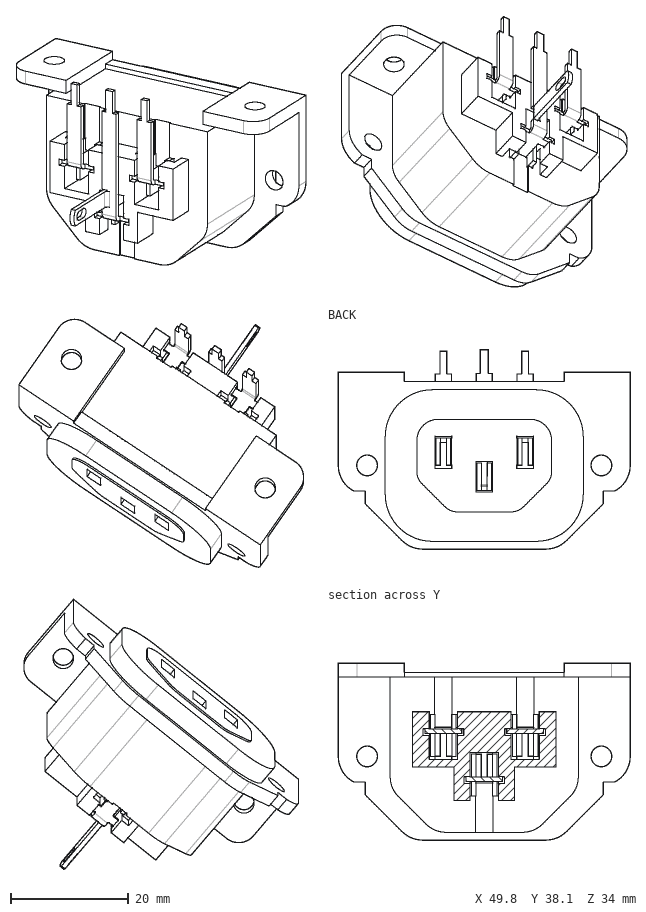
import cadquery as cq
import math


FLANGE_WIDTH = 49.8
PLATE_THICKNESS = 2.4
FLANGE_TOP = 28.65
LUG_TOP = 30.2
LUG_INNER_X = 13.6
LUG_LENGTH = 15.4
LUG_CORNER_RADIUS = 3.25
MOUNT_HOLE_X = 19.95
MOUNT_HOLE_DIAMETER = 3.5
FLANGE_HOLE_Z = 14.3
LUG_HOLE_Y = -8.7
EAR_BOTTOM = 9.9
STEP_X = 20.3
STEP_BOTTOM = 7.75
FLANGE_CORNER_RADIUS = 5.0

BODY_HALF_WIDTH = 16.05
BODY_TOP = LUG_TOP - PLATE_THICKNESS
BODY_BOTTOM = 1.35
BODY_BEVEL_TOP = 8.85
BODY_SIDE_RADIUS = 4.7
BODY_BOTTOM_RADIUS = 5.0
BODY_REAR = -17.9

BOSS_WIDTH = 33.75
BOSS_TOP = 27.2
BOSS_FRONT = 3.3
BOSS_RADIUS = 8.0
PAD_HALF_WIDTH = 11.5
PAD_TOP = 22.15
PAD_BOTTOM = 6.35
PAD_BEVEL_TOP = 12.05
PAD_FRONT = 3.6
PAD_TOP_RADIUS = 3.7
PAD_BEVEL_RADIUS = 3.0

BLOCK_HALF_WIDTH = 12.25
BLOCK_TOP = 21.9
BLOCK_STEP = 12.45
STEM_HALF_WIDTH = 5.2
BLOCK_BOTTOM = 6.75
BLOCK_REAR = -22.95

SHEET = 0.8
SIDE_TERMINAL_X = 6.95
SIDE_WEB_Z = 18.6
MIDDLE_WEB_Z = 10.4
PLATE_HALF_WIDTH = 1.4
WEB_HALF_WIDTH = 1.3
WEB_FRONT = -10.95
EAR_HALF_WIDTH = 3.15
EAR_FRONT = BODY_REAR - 3.3
EAR_REAR = BODY_REAR - 4.65
BEND_INNER_RADIUS = 0.25
BEND_OUTER_RADIUS = BEND_INNER_RADIUS + SHEET
TERMINAL_REAR = BLOCK_REAR - SHEET

WALL_THICKNESS = 0.75
WALL_INNER_X = 1.45
WALL_OUTER_X = WALL_INNER_X + WALL_THICKNESS
WALL_REAR = BODY_REAR - 1.5
WALL_FRONT = -15.95
WALL_SHORT_REACH = 2.85
WALL_LONG_REACH = 4.3
FINGER_FRONT = -7.95
FINGER_GAP = 1.0

SIDE_SHOULDER_Z = 29.9
SIDE_TAIL_HALF_WIDTH = 0.6
SIDE_TAIL_TOP = 33.75
MIDDLE_SHOULDER_Z = 30.0
MIDDLE_TAIL_HALF_WIDTH = 0.7
MIDDLE_TAIL_TOP = 34.0

TAB_CENTER_Z = 14.05
TAB_HEIGHT = 2.9
TAB_RELIEF_HEIGHT = 3.2
TAB_OUTER_X = -1.35
TAB_INNER_X = TAB_OUTER_X + SHEET
TAB_REAR = -34.45
TAB_TIP_RISE = 0.45
TAB_OUTER_RADIUS = 1.05
TAB_INNER_RADIUS = 0.6
TAB_SLOT_Y = -31.95
TAB_SLOT_LENGTH = 3.0
TAB_SLOT_HEIGHT = 1.65

SLOT_HALF_WIDTH = 2.4
SIDE_SLOT_END = 13.8
MIDDLE_SLOT_END = 14.95
HOLE_HALF_WIDTH = 1.4
HOLE_CLEARANCE = 0.25
POCKET_FRONT = FINGER_FRONT + 0.5
GROOVE_HALF_WIDTH = 1.5
GROOVE_DEPTH = 0.3
EAR_RECESS_HALF_WIDTH = 3.45
EAR_RECESS_CLEARANCE = 0.3
NOTCH_HALF_WIDTH = 3.9
NOTCH_REAR = BODY_REAR - 2.25


def box(x_range, y_range, z_range):
    """Axis-aligned box; each range is a pair of limits in either order."""
    lows = [min(pair) for pair in (x_range, y_range, z_range)]
    highs = [max(pair) for pair in (x_range, y_range, z_range)]
    return cq.Workplane(cq.Solid.makeBox(
        highs[0] - lows[0], highs[1] - lows[1], highs[2] - lows[2], cq.Vector(*lows)
    ))


def centered_box(center_x, half_width, y_range, z_range):
    return box((center_x - half_width, center_x + half_width), y_range, z_range)



def make_flange():
    ear_radius = FLANGE_WIDTH / 2 - MOUNT_HOLE_X
    ear_drop = FLANGE_HOLE_Z - EAR_BOTTOM
    ear_end_x = MOUNT_HOLE_X + math.sqrt(ear_radius**2 - ear_drop**2)
    ear_mid_angle = math.asin(ear_drop / ear_radius) / 2
    ear_mid = (
        MOUNT_HOLE_X + ear_radius * math.cos(ear_mid_angle),
        FLANGE_HOLE_Z - ear_radius * math.sin(ear_mid_angle),
    )
    half = FLANGE_WIDTH / 2
    bottom_x = STEP_X - STEP_BOTTOM
    outline = (
        cq.Workplane("XZ")
        .moveTo(0, FLANGE_TOP)
        .lineTo(LUG_INNER_X, FLANGE_TOP)
        .lineTo(LUG_INNER_X, LUG_TOP)
        .lineTo(half, LUG_TOP)
        .lineTo(half, FLANGE_HOLE_Z)
        .threePointArc(ear_mid, (ear_end_x, EAR_BOTTOM))
        .lineTo(STEP_X, EAR_BOTTOM)
        .lineTo(STEP_X, STEP_BOTTOM)
        .lineTo(bottom_x, 0)
        .lineTo(0, 0)
        .close()
    )
    right_half = outline.extrude(PLATE_THICKNESS)
    right_half = right_half.edges(
        cq.selectors.NearestToPointSelector((bottom_x, -PLATE_THICKNESS / 2, 0))
    ).fillet(FLANGE_CORNER_RADIUS)
    return right_half.union(right_half.mirror("YZ"))


def make_lug(side):
    lug = box(
        (side * LUG_INNER_X, side * FLANGE_WIDTH / 2), (-LUG_LENGTH, 0), (BODY_TOP, LUG_TOP)
    )
    outer_edge = ">X" if side > 0 else "<X"
    return lug.edges("|Z").edges("<Y").edges(outer_edge).fillet(LUG_CORNER_RADIUS)


def beveled_outline(half_width, top, bevel_top, bottom):
    """Rectangle in the XZ plane with 45 degree bevels on its two lower corners."""
    bottom_x = half_width - (bevel_top - bottom)
    return cq.Workplane("XZ").polyline([
        (-half_width, top),
        (half_width, top),
        (half_width, bevel_top),
        (bottom_x, bottom),
        (-bottom_x, bottom),
        (-half_width, bevel_top),
    ]).close()


def side_corners(bevel_top):
    """Selector for the two edges along Y where the upright sides meet the bevels."""
    tolerance = 0.05
    far = FLANGE_WIDTH
    return cq.selectors.BoxSelector(
        (-far, -far, bevel_top - tolerance), (far, far, bevel_top + tolerance)
    )


def make_body():
    outline = beveled_outline(BODY_HALF_WIDTH, BODY_TOP, BODY_BEVEL_TOP, BODY_BOTTOM)
    body = outline.extrude(-BODY_REAR)
    body = body.edges("|Y").edges(side_corners(BODY_BEVEL_TOP)).fillet(BODY_SIDE_RADIUS)
    return body.edges("|Y").edges("<Z").fillet(BODY_BOTTOM_RADIUS)


def make_boss():
    boss = centered_box(0, BOSS_WIDTH / 2, (0, BOSS_FRONT), (BODY_BOTTOM, BOSS_TOP))
    return boss.edges("|Y").fillet(BOSS_RADIUS)


def make_pad():
    outline = beveled_outline(PAD_HALF_WIDTH, PAD_TOP, PAD_BEVEL_TOP, PAD_BOTTOM)
    pad = outline.extrude(BOSS_FRONT - PAD_FRONT).translate((0, BOSS_FRONT, 0))
    pad = pad.edges("|Y").edges("<Z").fillet(PAD_BEVEL_RADIUS)
    pad = pad.edges("|Y").edges(side_corners(PAD_BEVEL_TOP)).fillet(PAD_BEVEL_RADIUS)
    return pad.edges("|Y").edges(">Z").fillet(PAD_TOP_RADIUS)


def make_block():
    rear_part = (BLOCK_REAR, BODY_REAR)
    crossbar = centered_box(0, BLOCK_HALF_WIDTH, rear_part, (BLOCK_STEP, BLOCK_TOP))
    stem = centered_box(0, STEM_HALF_WIDTH, rear_part, (BLOCK_BOTTOM, BLOCK_TOP))
    return crossbar.union(stem)


def make_opening(center_x, web_z, direction, slot_end, block_edge, body_edge):
    """Space for one terminal; direction (+1 up, -1 down) is the side where the slot is open."""
    wall_end = web_z + direction * WALL_SHORT_REACH
    hole_end = web_z + direction * (SHEET / 2 + HOLE_CLEARANCE)
    web_bottom = web_z - SHEET / 2
    web_top = web_z + SHEET / 2

    slot = centered_box(center_x, SLOT_HALF_WIDTH, (BLOCK_REAR, BODY_REAR), (slot_end, block_edge))
    finger_pocket = centered_box(
        center_x, SLOT_HALF_WIDTH, (BODY_REAR, POCKET_FRONT), (slot_end, hole_end)
    )
    wall_pocket = centered_box(
        center_x, SLOT_HALF_WIDTH, (BODY_REAR, WALL_FRONT), (hole_end, wall_end)
    ).cut(centered_box(center_x, HOLE_HALF_WIDTH, (BODY_REAR, WALL_FRONT), (hole_end, wall_end)))
    contact_hole = centered_box(
        center_x, HOLE_HALF_WIDTH, (BODY_REAR, PAD_FRONT), (slot_end, hole_end)
    )
    groove = centered_box(
        center_x, GROOVE_HALF_WIDTH, (BODY_REAR, BODY_REAR + GROOVE_DEPTH), (web_z, body_edge)
    )
    ear_recess = centered_box(
        center_x,
        EAR_RECESS_HALF_WIDTH,
        (BLOCK_REAR, EAR_FRONT),
        (web_bottom - EAR_RECESS_CLEARANCE, web_top),
    )
    notch = centered_box(
        center_x, NOTCH_HALF_WIDTH, (NOTCH_REAR, BODY_REAR), (web_z, block_edge)
    )
    opening = slot
    for part in (finger_pocket, wall_pocket, contact_hole, groove, ear_recess, notch):
        opening = opening.union(part)
    return opening


def make_housing():
    housing = make_flange().union(make_body()).union(make_boss()).union(make_pad())
    housing = housing.union(make_block())
    for side in (-1, 1):
        hole_x = side * MOUNT_HOLE_X
        radius = MOUNT_HOLE_DIAMETER / 2
        flange_hole = (
            cq.Workplane("XZ").center(hole_x, FLANGE_HOLE_Z).circle(radius).extrude(PLATE_THICKNESS)
        )
        lug_hole = (
            cq.Workplane("XY", origin=(hole_x, LUG_HOLE_Y, BODY_TOP))
            .circle(radius)
            .extrude(PLATE_THICKNESS)
        )
        housing = housing.union(make_lug(side)).cut(flange_hole).cut(lug_hole)
        housing = housing.cut(make_opening(
            side * SIDE_TERMINAL_X, SIDE_WEB_Z, 1, SIDE_SLOT_END, BLOCK_TOP, BODY_TOP
        ))
    return housing.cut(make_opening(
        0, MIDDLE_WEB_Z, -1, MIDDLE_SLOT_END, BLOCK_BOTTOM, BODY_BOTTOM
    ))



def make_contact_side(side, web_z, direction):
    """One contact wall and its finger, sloping inward toward the front."""
    far_end = web_z - direction * WALL_LONG_REACH
    wall = box(
        (side * WALL_INNER_X, side * WALL_OUTER_X),
        (WALL_REAR, WALL_FRONT),
        (far_end, web_z + direction * WALL_SHORT_REACH),
    )
    finger_end = web_z + direction * SHEET / 2
    tip_inner_x = FINGER_GAP / 2
    finger = (
        cq.Workplane("XY", origin=(0, 0, min(far_end, finger_end)))
        .polyline([
            (side * WALL_INNER_X, WALL_FRONT),
            (side * WALL_OUTER_X, WALL_FRONT),
            (side * (tip_inner_x + WALL_THICKNESS), FINGER_FRONT),
            (side * tip_inner_x, FINGER_FRONT),
        ])
        .close()
        .extrude(abs(finger_end - far_end))
    )
    return wall.union(finger)


def make_terminal(web_z, direction, shoulder_z, tail_half_width, tail_top):
    """Terminal at X = 0: contact, web with ears, and a plate bent upward into a solder tail."""
    web_bottom = web_z - SHEET / 2
    web_top = web_z + SHEET / 2
    bend = (
        box((-PLATE_HALF_WIDTH, PLATE_HALF_WIDTH), (TERMINAL_REAR, EAR_FRONT), (web_bottom, shoulder_z))
        .edges("|X").edges("<Y").edges("<Z").fillet(BEND_OUTER_RADIUS)
    )
    inside = (
        box((-PLATE_HALF_WIDTH, PLATE_HALF_WIDTH), (BLOCK_REAR, EAR_FRONT), (web_top, shoulder_z))
        .edges("|X").edges("<Y").edges("<Z").fillet(BEND_INNER_RADIUS)
    )
    terminal = bend.cut(inside)
    web = centered_box(0, WEB_HALF_WIDTH, (EAR_FRONT, WEB_FRONT), (web_bottom, web_top))
    ears = centered_box(0, EAR_HALF_WIDTH, (EAR_REAR, EAR_FRONT), (web_bottom, web_top))
    tail = centered_box(0, tail_half_width, (TERMINAL_REAR, BLOCK_REAR), (shoulder_z, tail_top))
    terminal = terminal.union(ears).union(web).union(tail)
    for side in (-1, 1):
        terminal = terminal.union(make_contact_side(side, web_z, direction))
    return terminal


def make_tab():
    """Slotted tab folded rearward, with its bend and rounded tip."""
    tab_bottom = TAB_CENTER_Z - TAB_HEIGHT / 2
    fillet_end_x = TAB_INNER_X + TAB_INNER_RADIUS
    fillet_rear = TERMINAL_REAR - TAB_INNER_RADIUS
    outer_end_x = TAB_OUTER_X + TAB_OUTER_RADIUS
    outer_end_y = BLOCK_REAR - TAB_OUTER_RADIUS
    diagonal = math.sqrt(0.5)
    outer_mid = (
        outer_end_x - TAB_OUTER_RADIUS * diagonal, outer_end_y + TAB_OUTER_RADIUS * diagonal
    )
    inner_mid = (
        fillet_end_x - TAB_INNER_RADIUS * diagonal, fillet_rear + TAB_INNER_RADIUS * diagonal
    )
    folded = (
        cq.Workplane("XY", origin=(0, 0, tab_bottom))
        .moveTo(TAB_OUTER_X, TAB_REAR)
        .lineTo(TAB_OUTER_X, outer_end_y)
        .threePointArc(outer_mid, (outer_end_x, BLOCK_REAR))
        .lineTo(fillet_end_x, BLOCK_REAR)
        .lineTo(fillet_end_x, TERMINAL_REAR)
        .threePointArc(inner_mid, (TAB_INNER_X, fillet_rear))
        .lineTo(TAB_INNER_X, TAB_REAR)
        .close()
        .extrude(TAB_HEIGHT)
    )
    tip_start = TAB_REAR + TAB_TIP_RISE
    side_profile = (
        cq.Workplane("YZ", origin=(TAB_OUTER_X, 0, 0))
        .moveTo(BLOCK_REAR, tab_bottom)
        .lineTo(tip_start, tab_bottom)
        .threePointArc((TAB_REAR, TAB_CENTER_Z), (tip_start, tab_bottom + TAB_HEIGHT))
        .lineTo(BLOCK_REAR, tab_bottom + TAB_HEIGHT)
        .close()
        .extrude(fillet_end_x - TAB_OUTER_X)
    )
    slot = (
        cq.Workplane("YZ", origin=(TAB_OUTER_X, TAB_SLOT_Y, TAB_CENTER_Z))
        .slot2D(TAB_SLOT_LENGTH, TAB_SLOT_HEIGHT)
        .extrude(SHEET)
    )
    return folded.intersect(side_profile).cut(slot)


def make_side_terminal(center_x):
    terminal = make_terminal(SIDE_WEB_Z, 1, SIDE_SHOULDER_Z, SIDE_TAIL_HALF_WIDTH, SIDE_TAIL_TOP)
    return terminal.translate((center_x, 0, 0))


def make_middle_terminal():
    terminal = make_terminal(
        MIDDLE_WEB_Z, -1, MIDDLE_SHOULDER_Z, MIDDLE_TAIL_HALF_WIDTH, MIDDLE_TAIL_TOP
    )
    half_relief = TAB_RELIEF_HEIGHT / 2
    relief = box(
        (-PLATE_HALF_WIDTH, TAB_INNER_X),
        (TERMINAL_REAR, BLOCK_REAR),
        (TAB_CENTER_Z - half_relief, TAB_CENTER_Z + half_relief),
    )
    return terminal.cut(relief).union(make_tab())


housing = make_housing()
side_terminals = [make_side_terminal(side * SIDE_TERMINAL_X) for side in (-1, 1)]
middle_terminal = make_middle_terminal()

result = cq.Compound.makeCompound([
    *housing.solids().vals(),
    *[terminal.solids().val() for terminal in side_terminals],
    *middle_terminal.solids().vals(),
])